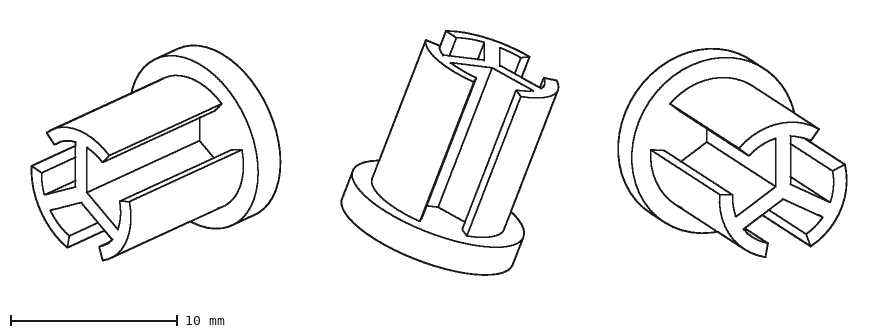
import cadquery as cq
import math

total_length = 12.0
cap_radius = 11.0 / 2
rim_thickness = 1.9
dome_height = 0.6
stem_length = total_length - rim_thickness - dome_height

stem_outer_radius = 4.25
stem_inner_radius = 3.37
spoke_width = 1.0
spoke_count = 3
first_spoke_angle = 90.0

wall_offset_angle = 4.8
outer_half_angle = 39.2
inner_half_angle = 37.8


def polar(radius, angle):
    """Return the point at a radius and an angle in degrees."""
    return radius * math.cos(math.radians(angle)), radius * math.sin(math.radians(angle))


def make_cap():
    """Round rim with a shallow spherical dome, its flat face at Y = 0."""
    dome_radius = (cap_radius**2 + dome_height**2) / (2 * dome_height)
    cap_height = rim_thickness + dome_height
    mid_radius = cap_radius / 2
    mid_height = cap_height - dome_radius + math.sqrt(dome_radius**2 - mid_radius**2)
    return (
        cq.Workplane("XY")
        .lineTo(cap_radius, 0)
        .lineTo(cap_radius, rim_thickness)
        .threePointArc((mid_radius, mid_height), (0, cap_height))
        .close()
        .revolve(360, (0, 0), (0, 1))
    )


def make_wall(middle_angle):
    """Curved segment of the stem wall, extruded toward -Y."""
    return (
        cq.Workplane("XZ")
        .moveTo(*polar(stem_outer_radius, middle_angle - outer_half_angle))
        .threePointArc(
            polar(stem_outer_radius, middle_angle),
            polar(stem_outer_radius, middle_angle + outer_half_angle),
        )
        .lineTo(*polar(stem_inner_radius, middle_angle + inner_half_angle))
        .threePointArc(
            polar(stem_inner_radius, middle_angle),
            polar(stem_inner_radius, middle_angle - inner_half_angle),
        )
        .close()
        .extrude(stem_length)
    )


def make_spoke(angle):
    """Flat web from the stem axis to the middle of the wall thickness."""
    spoke_length = (stem_inner_radius + stem_outer_radius) / 2
    return (
        cq.Workplane("XZ")
        .transformed(rotate=(0, 0, angle))
        .center(spoke_length / 2, 0)
        .rect(spoke_length, spoke_width)
        .extrude(stem_length)
    )


result = make_cap()
for index in range(spoke_count):
    spoke_angle = first_spoke_angle + index * 360 / spoke_count
    result = result.union(make_spoke(spoke_angle))
    result = result.union(make_wall(spoke_angle + wall_offset_angle))